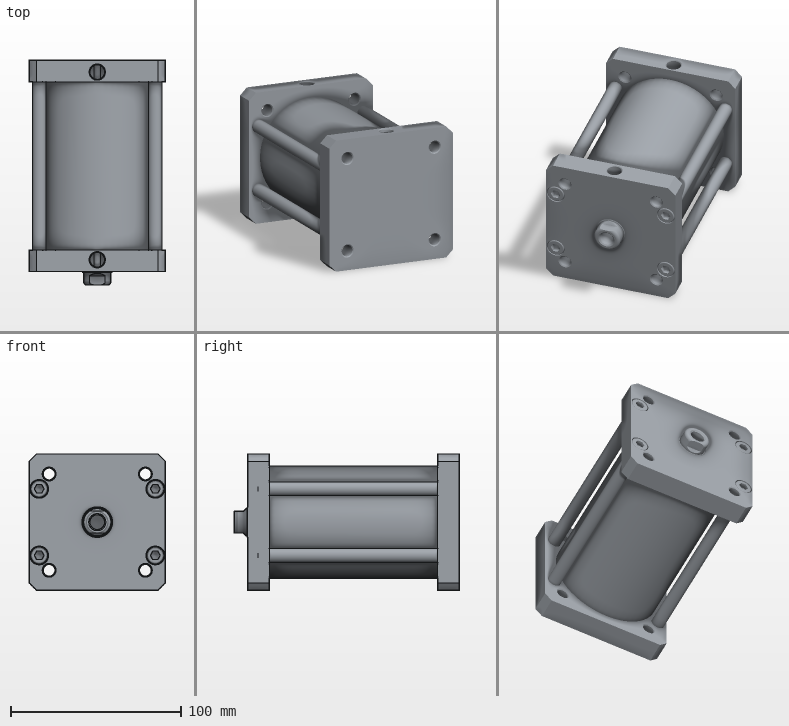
import cadquery as cq
import math

OVERALL_LENGTH = 132.0
DRILL_TIP_ANGLE = 118.0
ROD_HOLE_TIP_ANGLE = 165.0

CAP_SIDE = 80.0
CAP_THICKNESS = 12.7
CORNER_CUT = 4.4
MOUNT_HOLE_OFFSET = 28.2
MOUNT_HOLE_DIAMETER = 6.9
MOUNT_HOLE_MOUTH = 8.0
PORT_DIAMETER = 8.6
PORT_MOUTH = 9.5
PORT_DEPTH = 13.2
PORT_SETBACK = 7.0
BAR_DIAMETER = 4.0
BAR_Z = 26.4
COLLAR_DIAMETER = 18.0
COLLAR_HEIGHT = 0.4
COLLAR_TOP_DIAMETER = 17.2
COLLAR_BORE = 16.5

ROD_DIAMETER = 16.0
ROD_OVERHANG = 7.9
ROD_END_ROUNDING = 1.7
ROD_END_BULGE = 0.4
FLATS_WIDTH = 13.0
FLATS_LENGTH = 5.4
ROD_HOLE_DIAMETER = 8.6
ROD_HOLE_MOUTH = 10.0
ROD_HOLE_DEPTH = 19.8

BARREL_DIAMETER = 66.0
BARREL_BORE = 63.0

TIE_X = 34.0
TIE_Z = 19.5
TIE_DIAMETER = 8.0
TIE_END_DEPTH = 9.2
HEAD_DIAMETER = 10.0
HEAD_FILLET = 0.5
HEAD_LENGTH = 6.0
COUNTERBORE_DIAMETER = 11.0
HEX_WIDTH = 5.0
HEX_DEPTH = 2.6

CAP_SPACING = OVERALL_LENGTH - ROD_OVERHANG - CAP_THICKNESS
TIE_POSITIONS = [(x, z) for x in (-TIE_X, TIE_X) for z in (-TIE_Z, TIE_Z)]


def y_cylinder(diameter, start, end, x=0, z=0):
    """Cylinder along Y from start to end."""
    return cq.Workplane("XZ", origin=(x, start, z)).circle(diameter / 2).extrude(start - end)


def tip_height(diameter, angle=DRILL_TIP_ANGLE):
    """Height of a conical drill tip with the given base diameter and tip angle in degrees."""
    return diameter / 2 / math.tan(math.radians(angle / 2))


def drilled_hole(diameter, mouth, depth, tip_angle=DRILL_TIP_ANGLE):
    """Cutter for a blind hole going down from Z = 0, with a 45 degree mouth and a conical bottom."""
    radius = diameter / 2
    mouth_depth = (mouth - diameter) / 2
    return (
        cq.Workplane("XZ")
        .polyline(
            [
                (0, 0),
                (mouth / 2, 0),
                (radius, -mouth_depth),
                (radius, -depth),
                (0, -depth - tip_height(diameter, tip_angle)),
            ]
        )
        .close()
        .revolve(360, (0, 0, 0), (0, 1, 0))
    )


def cap_plate():
    """Square cap from Y = 0 to its thickness, with cut corners, mounting holes and a barred port on top."""
    plate = (
        cq.Workplane("XY")
        .box(CAP_SIDE, CAP_THICKNESS, CAP_SIDE)
        .edges("|Y")
        .chamfer(CORNER_CUT)
        .translate((0, CAP_THICKNESS / 2, 0))
    )
    mouth_depth = (MOUNT_HOLE_MOUTH - MOUNT_HOLE_DIAMETER) / 2
    mount_hole = (
        cq.Workplane("XY")
        .polyline(
            [
                (0, 0),
                (MOUNT_HOLE_MOUTH / 2, 0),
                (MOUNT_HOLE_DIAMETER / 2, mouth_depth),
                (MOUNT_HOLE_DIAMETER / 2, CAP_THICKNESS - mouth_depth),
                (MOUNT_HOLE_MOUTH / 2, CAP_THICKNESS),
                (0, CAP_THICKNESS),
            ]
        )
        .close()
        .revolve(360, (0, 0, 0), (0, 1, 0))
    )
    for x in (-MOUNT_HOLE_OFFSET, MOUNT_HOLE_OFFSET):
        for z in (-MOUNT_HOLE_OFFSET, MOUNT_HOLE_OFFSET):
            plate = plate.cut(mount_hole.translate((x, 0, z)))
    port = drilled_hole(PORT_DIAMETER, PORT_MOUTH, PORT_DEPTH)
    plate = plate.cut(port.translate((0, PORT_SETBACK, CAP_SIDE / 2)))
    bar_start = PORT_SETBACK - PORT_DIAMETER / 2
    return plate.union(y_cylinder(BAR_DIAMETER, bar_start, bar_start + PORT_DIAMETER, z=BAR_Z))


def front_cap():
    """Cap with a rod bore, a low collar around the rod and counterbored tie rod holes."""
    cap = cap_plate()
    collar = (
        cq.Workplane("XZ")
        .circle(COLLAR_DIAMETER / 2)
        .workplane(offset=COLLAR_HEIGHT)
        .circle(COLLAR_TOP_DIAMETER / 2)
        .loft()
    )
    cap = cap.union(collar)
    cap = cap.cut(y_cylinder(ROD_DIAMETER, 0, CAP_THICKNESS))
    cap = cap.cut(y_cylinder(COLLAR_BORE, -COLLAR_HEIGHT, 0))
    for x, z in TIE_POSITIONS:
        cap = cap.cut(y_cylinder(COUNTERBORE_DIAMETER, 0, HEAD_LENGTH, x, z))
        cap = cap.cut(y_cylinder(TIE_DIAMETER, 0, CAP_THICKNESS, x, z))
    return cap


def rear_cap():
    """Cap with blind holes for the tie rod ends."""
    cap = cap_plate().mirror("XZ").translate((0, OVERALL_LENGTH - ROD_OVERHANG, 0))
    for x, z in TIE_POSITIONS:
        cap = cap.cut(y_cylinder(TIE_DIAMETER, CAP_SPACING, CAP_SPACING + TIE_END_DEPTH, x, z))
    return cap


def barrel():
    """Tube between the two caps."""
    outside = y_cylinder(BARREL_DIAMETER, CAP_THICKNESS, CAP_SPACING)
    return outside.cut(y_cylinder(BARREL_BORE, CAP_THICKNESS, CAP_SPACING))


def piston_rod():
    """Rod with a rounded end, two wrench flats with 45 degree run-outs and a drilled end hole."""
    tip = -ROD_OVERHANG
    radius = ROD_DIAMETER / 2
    shoulder = tip + ROD_END_ROUNDING
    rod = (
        cq.Workplane("XY")
        .moveTo(0, tip)
        .lineTo(radius - ROD_END_ROUNDING, tip)
        .sagittaArc((radius, shoulder), -ROD_END_BULGE)
        .lineTo(radius, CAP_SPACING)
        .lineTo(0, CAP_SPACING)
        .close()
        .revolve(360, (0, 0, 0), (0, 1, 0))
    )
    flat = FLATS_WIDTH / 2
    run_out = radius - flat
    flats_end = tip + FLATS_LENGTH
    upper_cut = (
        cq.Workplane("YZ")
        .polyline(
            [
                (tip, flat),
                (flats_end, flat),
                (flats_end + run_out, flat + run_out),
                (tip, flat + run_out),
            ]
        )
        .close()
        .extrude(radius, both=True)
    )
    end_hole = drilled_hole(ROD_HOLE_DIAMETER, ROD_HOLE_MOUTH, ROD_HOLE_DEPTH, ROD_HOLE_TIP_ANGLE)
    end_hole = end_hole.rotate((0, 0, 0), (1, 0, 0), 90).translate((0, tip, 0))
    return rod.cut(upper_cut).cut(upper_cut.mirror("XY")).cut(end_hole)


def tie_rod(x, z):
    """Long screw with a rounded cylindrical head and a hexagon socket that ends in a cone."""
    shank = y_cylinder(TIE_DIAMETER, HEAD_LENGTH, CAP_SPACING + TIE_END_DEPTH)
    head = y_cylinder(HEAD_DIAMETER, 0, HEAD_LENGTH).faces("<Y").edges().fillet(HEAD_FILLET)
    corner_diameter = HEX_WIDTH / math.cos(math.pi / 6)
    cone_height = tip_height(corner_diameter)
    hexagon = cq.Workplane("XZ").polygon(6, corner_diameter).extrude(-HEX_DEPTH - cone_height)
    pointed_end = (
        cq.Workplane("XY")
        .polyline(
            [
                (0, 0),
                (corner_diameter / 2, 0),
                (corner_diameter / 2, HEX_DEPTH),
                (0, HEX_DEPTH + cone_height),
            ]
        )
        .close()
        .revolve(360, (0, 0, 0), (0, 1, 0))
    )
    socket = hexagon.intersect(pointed_end)
    return shank.union(head).cut(socket).translate((x, 0, z))


tie_rods = [tie_rod(x, z) for x, z in TIE_POSITIONS]
result = cq.Compound.makeCompound(
    [
        front_cap().val(),
        rear_cap().val(),
        barrel().val(),
        piston_rod().val(),
        *[rod.val() for rod in tie_rods],
    ]
)